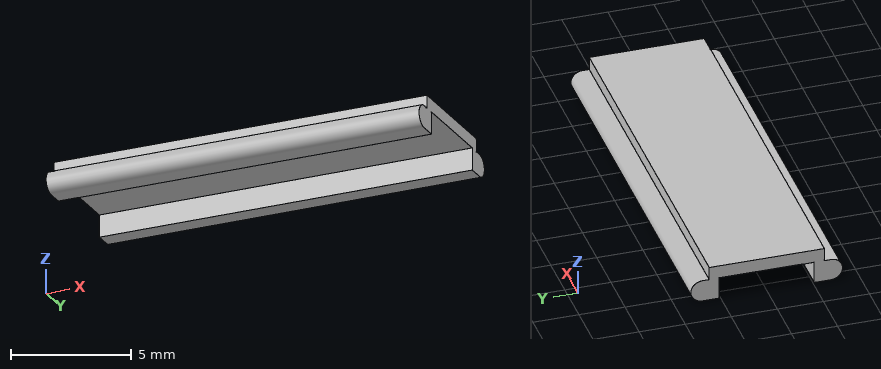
import cadquery as cq

length = 17.0
overall_width = 6.6
overall_height = 1.6
rail_height = 1.0
plate_width = 5.0
channel_width = 4.11

rail_radius = rail_height / 2
rail_flat_width = overall_width - 2 * rail_radius
plate_thickness = overall_height - rail_height


def centered_bar(width, height, base_z):
    """Full-length bar centred on X and Y, standing on base_z."""
    return (
        cq.Workplane("XY")
        .workplane(offset=base_z)
        .box(length, width, height, centered=(True, True, False))
    )


def rounded_edge(side):
    """Full-length rounded outer edge of the rail on one side (-1 or +1 in Y)."""
    return (
        cq.Workplane("YZ")
        .workplane(offset=-length / 2)
        .center(side * rail_flat_width / 2, rail_radius)
        .circle(rail_radius)
        .extrude(length)
    )


rails = centered_bar(rail_flat_width, rail_height, 0)
for side in (-1, 1):
    rails = rails.union(rounded_edge(side))
rails = rails.cut(centered_bar(channel_width, rail_height, 0))

plate = centered_bar(plate_width, plate_thickness, rail_height)

result = rails.union(plate)